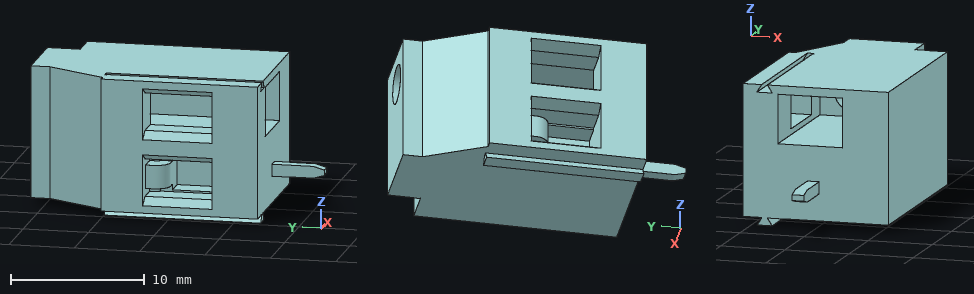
import cadquery as cq


width = 11.35
length = 18.0
height = 10.16
shoulder_y = 12.0
shoulder_x = 0.53
nose_left = 2.93
nose_left_y = 16.5
nose_right = 8.82
nose_right_y = 15.49

dovetail_x = 1.7
dovetail_depth = 0.6
dovetail_wide = 1.19
dovetail_narrow = 0.46

pocket_left = 2.73
pocket_right = 7.77
pocket_bottom = 5.72
pocket_top = 9.5
pocket_depth = 11.0
hole_diameter = 3.0
hole_x = 5.35
hole_z = (pocket_bottom + pocket_top) / 2

window_start = 3.5
window_end = 8.8
window_height = 3.92
throat_height = 2.88
flare_depth = 0.88
lower_window_z = 2.53
upper_window_z = 7.61

back_wall_x = pocket_left
ledge_x = 1.05
ledge_radius = 1.12
ledge_bottom = 1.65
ledge_top = 3.45
ledge_round_y = 8.23
step_x = 2.5
step_radius = 0.2
recess_end = ledge_round_y - ledge_radius
recess_bottom = 1.23
recess_top = 3.83
recess_x = 4.4

pin_length = 4.0
pin_x = 5.5
pin_z = 2.55
pin_size = 0.92
pin_taper_length = 0.84
pin_taper = 0.25
pin_root = 1.1


def box(x_range, y_range, z_range):
    """Box between the given start and end on each axis."""
    starts, ends = zip(x_range, y_range, z_range)
    sizes = [end - start for start, end in zip(starts, ends)]
    return cq.Workplane("XY").box(*sizes, centered=False).translate(starts)


def housing():
    outline = [
        (0, 0),
        (width, 0),
        (width, nose_right_y),
        (nose_right, nose_right_y),
        (nose_right, length),
        (nose_left, length),
        (nose_left, nose_left_y),
        (shoulder_x, shoulder_y),
        (0, shoulder_y),
    ]
    return cq.Workplane("XY").polyline(outline).close().extrude(height)


def dovetail(top_z):
    """Dovetail bar that widens downwards from top_z."""
    bottom_z = top_z - dovetail_depth
    profile = [
        (dovetail_x - dovetail_narrow / 2, top_z),
        (dovetail_x + dovetail_narrow / 2, top_z),
        (dovetail_x + dovetail_wide / 2, bottom_z),
        (dovetail_x - dovetail_wide / 2, bottom_z),
    ]
    return cq.Workplane("XZ").polyline(profile).close().extrude(-shoulder_y)


def window(center_z, end_x):
    """Cutter for a side window that narrows to its throat and ends at end_x."""
    half_mouth = window_height / 2
    half_throat = throat_height / 2
    profile = [
        (0, center_z - half_mouth),
        (flare_depth, center_z - half_throat),
        (end_x, center_z - half_throat),
        (end_x, center_z + half_throat),
        (flare_depth, center_z + half_throat),
        (0, center_z + half_mouth),
    ]
    cutter = cq.Workplane("XZ").polyline(profile).close().extrude(window_start - window_end)
    return cutter.translate((0, window_start, 0))


def rounded_ledge(face_x, radius, bottom, top):
    """Ledge standing out from the back wall to face_x, with its free corner rounded."""
    ledge = box((face_x, back_wall_x), (ledge_round_y - radius, window_end), (bottom, top))
    return ledge.edges("|Z and <X and <Y").fillet(radius)


def wire_pocket():
    pocket = box((pocket_left, pocket_right), (0, pocket_depth), (pocket_bottom, pocket_top))
    hole = cq.Workplane("XZ").center(hole_x, hole_z).circle(hole_diameter / 2).extrude(-length)
    return pocket.union(hole)


def lower_window():
    cutter = window(lower_window_z, back_wall_x)
    throat_bottom = lower_window_z - throat_height / 2
    throat_top = lower_window_z + throat_height / 2
    cutter = cutter.cut(rounded_ledge(ledge_x, ledge_radius, ledge_bottom, ledge_top))
    cutter = cutter.cut(rounded_ledge(step_x, step_radius, throat_bottom, throat_top))
    recess = box((back_wall_x, recess_x), (window_start, recess_end), (recess_bottom, recess_top))
    return cutter.union(recess)


def pin():
    half = pin_size / 2
    tip_half = half - pin_taper
    taper_y = pin_taper_length - pin_length
    profile = [
        (pin_root, pin_z - half),
        (taper_y, pin_z - half),
        (-pin_length, pin_z - tip_half),
        (-pin_length, pin_z + tip_half),
        (taper_y, pin_z + half),
        (pin_root, pin_z + half),
    ]
    bar = cq.Workplane("YZ").polyline(profile).close().extrude(pin_size)
    return bar.translate((pin_x - half, 0, 0))


result = (
    housing()
    .cut(dovetail(height))
    .union(dovetail(0))
    .cut(wire_pocket())
    .cut(window(upper_window_z, pocket_left))
    .cut(lower_window())
    .union(pin())
)